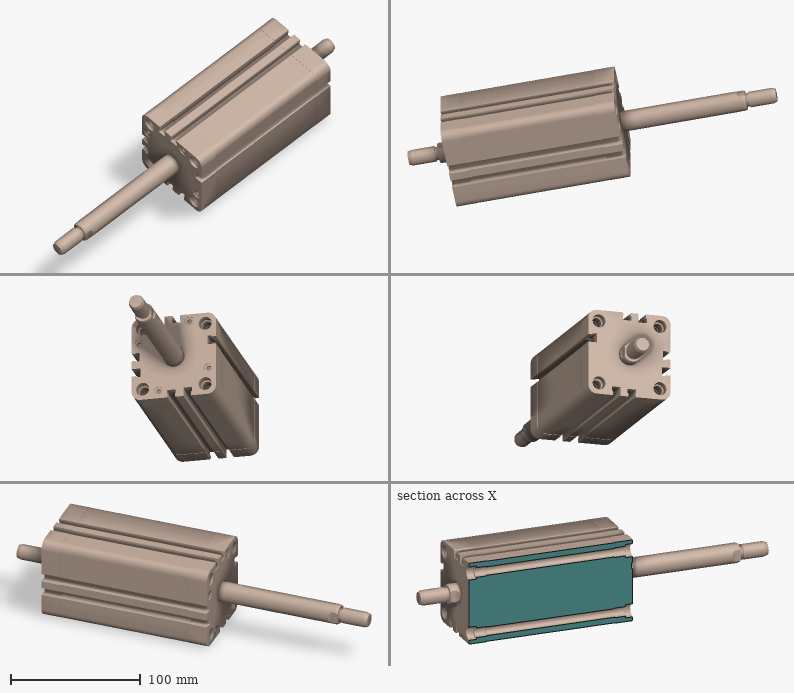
import cadquery as cq

total_length = 288.5
body_front = -23.5
body_length = 136.2
body_back = body_front + body_length
cap_length = 15.0
front_seam = body_front + cap_length
back_seam = body_back - cap_length
caps = ((body_front, front_seam), (back_seam, body_back))

body_side = 67.0
half_side = body_side / 2
tube_side = 66.4
cap_corner_radius = 7.0
tube_corner_radius = 6.0
quarter_turns = (0, 90, 180, 270)

side_slot_inner_edge = 7.5
side_slot_width = 6.0
side_slot_depth = 7.0
side_slot_tube_rise = 0.3
side_slot_undercut = 1.0
side_slot_lip = 3.5
tee_slot_center = 2.0
tee_slot_mouth = 5.8
tee_slot_width = 7.0
tee_slot_depth = 6.0
tee_slot_lip = 3.0
tee_slot_chamfer = 0.5
tee_slot_turns = (0, 90, 180)

mount_offset = 24.8
mount_hole_diameter = 6.5
cap_hole_diameter = 7.5
counterbore_diameter = 10.5
counterbore_depth = 6.0
screw_across = 12.0
screw_out = 27.7
screw_rim_diameter = 8.0
screw_rim_depth = 0.3
screw_recess_diameter = 7.5
screw_recess_depth = 1.0
socket_diameter = 4.0
socket_depth = 3.0

rod_diameter = 16.0
rod_bore_diameter = 17.5
rod_bore_depth = 1.5
thread_diameter = 12.0
thread_tip_diameter = 10.0
thread_tip_length = 3.0
thread_length = 21.0
neck_diameter = 10.5
shoulder_from_tip = 23.7
shoulder_diameter = 14.7
shoulder_chamfer_length = 1.7
flats_width = 13.0
flats_length = 5.2
flats_ramp_length = 2.3


def turned(shape, angle):
    """Turn a shape about the rod axis, clockwise as seen from the front."""
    return shape.rotate((0, 0, 0), (0, 1, 0), angle)


def block(x_min, x_max, y_min, y_max, z_min, z_max):
    size = (x_max - x_min, y_max - y_min, z_max - z_min)
    return cq.Workplane("XY").box(*size, centered=False).translate((x_min, y_min, z_min))


def cylinder(diameter, x, z, y_min, y_max):
    start = cq.Workplane("XZ", origin=(x, y_min, z))
    return start.circle(diameter / 2).extrude(y_min - y_max)


def square_bar(side, corner_radius, y_min, y_max):
    half = side / 2
    return block(-half, half, y_min, y_max, -half, half).edges("|Y").fillet(corner_radius)


def make_body():
    body = square_bar(tube_side, tube_corner_radius, front_seam, back_seam)
    for y_min, y_max in caps:
        body = body.union(square_bar(body_side, cap_corner_radius, y_min, y_max))
    return body


def make_side_slot():
    inner_edge = -side_slot_inner_edge
    outer_edge = inner_edge - side_slot_width
    floor = half_side - side_slot_depth
    lip = half_side - side_slot_lip
    tube_floor = floor + side_slot_tube_rise
    slot = block(outer_edge, inner_edge, front_seam, back_seam, tube_floor, half_side)
    for y_min, y_max in caps:
        slot = slot.union(block(outer_edge, inner_edge, y_min, y_max, floor, half_side))
        slot = slot.union(block(outer_edge - side_slot_undercut, outer_edge, y_min, y_max, floor, lip))
    return slot


def make_tee_slot():
    half_mouth = tee_slot_mouth / 2
    half_flare = half_mouth + tee_slot_chamfer
    half_width = tee_slot_width / 2
    floor = half_side - tee_slot_depth
    lip = half_side - tee_slot_lip
    right_side = [
        (half_width, floor),
        (half_width, lip),
        (half_mouth, lip),
        (half_mouth, half_side - tee_slot_chamfer),
        (half_flare, half_side),
    ]
    left_side = [(-x, z) for x, z in reversed(right_side)]
    start = cq.Workplane("XZ", origin=(tee_slot_center, body_front, 0))
    return start.polyline(right_side + left_side).close().extrude(-body_length)


def make_mount_hole():
    def bore(diameter, y_min, y_max):
        return cylinder(diameter, mount_offset, mount_offset, y_min, y_max)

    hole = bore(mount_hole_diameter, body_front, body_back)
    for y_min, y_max in caps:
        hole = hole.union(bore(cap_hole_diameter, y_min, y_max))
    hole = hole.union(bore(counterbore_diameter, body_front, body_front + counterbore_depth))
    return hole.union(bore(counterbore_diameter, body_back - counterbore_depth, body_back))


def make_screw_recess():
    recess = None
    steps = (
        (screw_rim_diameter, screw_rim_depth),
        (screw_recess_diameter, screw_recess_depth),
        (socket_diameter, socket_depth),
    )
    for diameter, depth in steps:
        step = cylinder(diameter, screw_across, screw_out, body_front, body_front + depth)
        recess = step if recess is None else recess.union(step)
    return recess


def make_wrench_flat(shoulder):
    """Flat on the +X side of the back end, running out to the rod surface on a ramp."""
    flat_end = shoulder - flats_length
    flat_x = flats_width / 2
    rod_radius = rod_diameter / 2
    outline = [
        (flat_x, shoulder),
        (flat_x, flat_end),
        (rod_radius, flat_end - flats_ramp_length),
        (rod_radius, shoulder),
    ]
    return cq.Workplane("XY").polyline(outline).close().extrude(rod_radius, both=True)


def make_rod():
    tip = total_length / 2
    end_profile = [
        (thread_tip_diameter / 2, tip),
        (thread_diameter / 2, tip - thread_tip_length),
        (thread_diameter / 2, tip - thread_length),
        (neck_diameter / 2, tip - thread_length),
        (neck_diameter / 2, tip - shoulder_from_tip),
        (shoulder_diameter / 2, tip - shoulder_from_tip),
        (rod_diameter / 2, tip - shoulder_from_tip - shoulder_chamfer_length),
    ]
    other_end = [(radius, -y) for radius, y in reversed(end_profile)]
    outline = [(0, tip)] + end_profile + other_end + [(0, -tip)]
    rod = cq.Workplane("XY").polyline(outline).close().revolve(360, (0, 0, 0), (0, 1, 0))
    for angle in (0, 180):
        flat = turned(make_wrench_flat(tip - shoulder_from_tip), angle)
        rod = rod.cut(flat).cut(flat.mirror("XZ"))
    return rod


def make_part():
    part = make_body()
    for angle in quarter_turns:
        for cutter in (make_side_slot(), make_mount_hole(), make_screw_recess()):
            part = part.cut(turned(cutter, angle))
    for angle in tee_slot_turns:
        part = part.cut(turned(make_tee_slot(), -angle))
    part = part.cut(cylinder(rod_bore_diameter, 0, 0, body_front, body_front + rod_bore_depth))
    part = part.cut(cylinder(rod_bore_diameter, 0, 0, body_back - rod_bore_depth, body_back))
    return part.union(make_rod())


result = make_part()